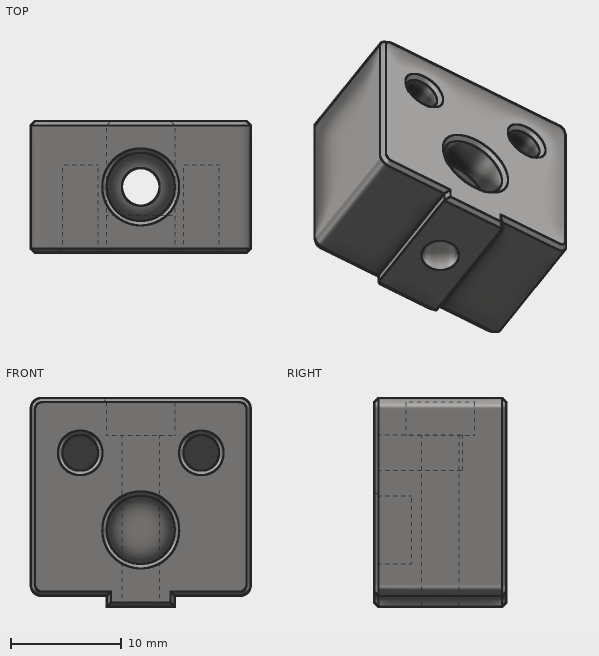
import cadquery as cq

block_width = 20.0
block_depth = 12.0
block_height = 18.0
corner_radius = 1.0
edge_chamfer = 0.4

key_width = 6.2
key_height = 1.0

bore_diameter = 3.4
counterbore_diameter = 6.2
counterbore_depth = 3.4

pocket_diameter = 6.2
pocket_depth = 3.4
pocket_height = 6.0

pin_hole_diameter = 3.25
pin_hole_depth = 8.0
pin_hole_spacing = 11.0
pin_hole_drop = 5.0

front_y = -block_depth / 2


def make_body():
    """Rounded block with its key, chamfered around the front and back faces."""
    block = (
        cq.Workplane("XY")
        .box(block_width, block_depth, block_height, centered=(True, True, False))
        .edges("|Y")
        .fillet(corner_radius)
    )
    key = (
        cq.Workplane("XY")
        .workplane(offset=-key_height)
        .box(key_width, block_depth, 2 * key_height, centered=(True, True, False))
    )
    return block.union(key).faces("<Y or >Y").chamfer(edge_chamfer)


def chamfered_hole(diameter, depth, entry, direction):
    """Cutter for a blind hole whose mouth at the entry point is chamfered."""
    radius = diameter / 2
    entry_point = cq.Vector(*entry)
    axis = cq.Vector(*direction)
    hole = cq.Solid.makeCylinder(radius, depth, entry_point, axis)
    mouth = cq.Solid.makeCone(radius + edge_chamfer, radius, edge_chamfer, entry_point, axis)
    return cq.Workplane(obj=hole.fuse(mouth))


def cut_vertical_bore(body):
    """Counterbore from the top and a through bore down through the key."""
    counterbore = chamfered_hole(
        counterbore_diameter, counterbore_depth, (0, 0, block_height), (0, 0, -1)
    )
    bore = (
        cq.Workplane("XY")
        .workplane(offset=-key_height)
        .circle(bore_diameter / 2)
        .extrude(key_height + block_height)
    )
    return body.cut(counterbore).cut(bore)


def cut_front_holes(body):
    """Large central pocket and the two small holes in the front face."""
    inward = (0, 1, 0)
    body = body.cut(
        chamfered_hole(pocket_diameter, pocket_depth, (0, front_y, pocket_height), inward)
    )
    pin_hole_z = block_height - pin_hole_drop
    for side in (-1, 1):
        entry = (side * pin_hole_spacing / 2, front_y, pin_hole_z)
        body = body.cut(chamfered_hole(pin_hole_diameter, pin_hole_depth, entry, inward))
    return body


result = cut_front_holes(cut_vertical_bore(make_body()))